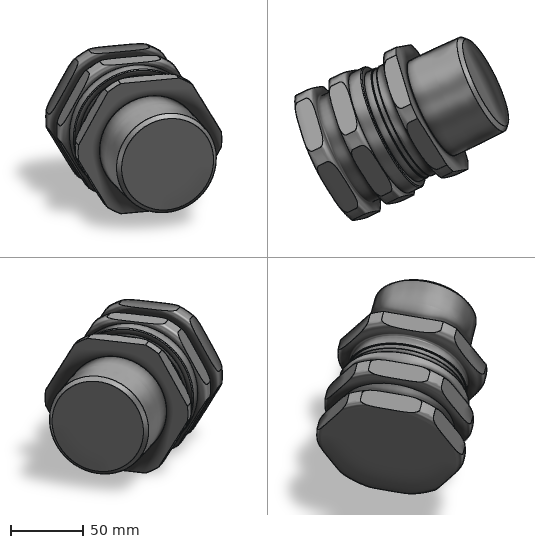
import cadquery as cq


HEX_TURN = 30
ACROSS_FLATS = 95.0
CORNER_RADIUS = 52.0
NUT_ROUND = 4.1

CAP_HEX_LENGTH = 14.1
COLLAR_END = 26.9
COLLAR_RADIUS = 81.6 / 2
COLLAR_FILLET = 1.2

MIDDLE_HEX_END = 41.0
SKIRT_END = 51.2
SKIRT_RADIUS = 92.1 / 2
SKIRT_CHAMFER = 0.7

SLEEVE_RADIUS = 84.1 / 2
SEAL_START = 56.5
SEAL_END = 61.3
SEAL_LIP = 0.4
GROOVE_RADIUS = 83.0 / 2
GROOVE_WALL = 0.4

NECK_TAPER_START = 63.1
NECK_TAPER_END = 67.1
NECK_RADIUS = 82.6 / 2
NECK_FILLET = 2.4
ENTRY_HEX_START = NECK_TAPER_END + NECK_FILLET
ENTRY_HEX_END = 81.7
ENTRY_ROUND = 5.7
SHOULDER_LENGTH = 0.4

SPIGOT_START = ENTRY_HEX_END + SHOULDER_LENGTH
SPIGOT_RADIUS = 73.0 / 2
SPIGOT_TAPER_START = 101.6
SPIGOT_TIP_RADIUS = 72.2 / 2
SPIGOT_CHAMFER = 2.9
TOTAL_LENGTH = 124.0


def revolve_about_x(profile):
    """Turn a closed XY profile fully about the X axis."""
    return profile.close().revolve(360, (0, 0, 0), (1, 0, 0))


def disc(x_start, x_end, radius):
    """Solid cylinder on the X axis."""
    return cq.Workplane("YZ", origin=(x_start, 0, 0)).circle(radius).extrude(x_end - x_start)


def turned_hexagon(x_start, x_end, left_round, right_round=0.0):
    """Hexagon with corners along Y, cut by a round blank with rounded rims."""
    length = x_end - x_start
    blank = disc(x_start, x_end, CORNER_RADIUS).faces("<X").edges().fillet(left_round)
    if right_round:
        blank = blank.faces(">X").edges().fillet(right_round)
    hexagon = (
        cq.Workplane("YZ", origin=(x_start, 0, 0))
        .polygon(6, ACROSS_FLATS, circumscribed=True)
        .extrude(length)
        .rotate((0, 0, 0), (1, 0, 0), HEX_TURN)
    )
    return hexagon.intersect(blank)


def make_cap_nut():
    """Closed hexagon head with a collar that flares into it."""
    head = turned_hexagon(0, CAP_HEX_LENGTH, NUT_ROUND, NUT_ROUND)
    collar = revolve_about_x(
        cq.Workplane("XY")
        .moveTo(CAP_HEX_LENGTH, 0)
        .lineTo(CAP_HEX_LENGTH, COLLAR_RADIUS + COLLAR_FILLET)
        .radiusArc((CAP_HEX_LENGTH + COLLAR_FILLET, COLLAR_RADIUS), -COLLAR_FILLET)
        .lineTo(COLLAR_END, COLLAR_RADIUS)
        .lineTo(COLLAR_END, 0)
    )
    return head.union(collar)


def make_middle_nut():
    """Hexagon with a round skirt chamfered at its free end."""
    hexagon = turned_hexagon(COLLAR_END, MIDDLE_HEX_END, NUT_ROUND, NUT_ROUND)
    skirt = disc(MIDDLE_HEX_END, SKIRT_END, SKIRT_RADIUS).faces(">X").edges().chamfer(SKIRT_CHAMFER)
    return hexagon.union(skirt)


def make_sleeve():
    """Plain cylinder between the middle nut and the seal."""
    return disc(SKIRT_END, SEAL_START, SLEEVE_RADIUS)


def make_seal():
    """Disc with a shallow groove between two narrow lips."""
    return revolve_about_x(
        cq.Workplane("XY")
        .moveTo(SEAL_START, 0)
        .lineTo(SEAL_START, SLEEVE_RADIUS)
        .lineTo(SEAL_START + SEAL_LIP, SLEEVE_RADIUS)
        .lineTo(SEAL_START + SEAL_LIP + GROOVE_WALL, GROOVE_RADIUS)
        .lineTo(SEAL_END - SEAL_LIP - GROOVE_WALL, GROOVE_RADIUS)
        .lineTo(SEAL_END - SEAL_LIP, SLEEVE_RADIUS)
        .lineTo(SEAL_END, SLEEVE_RADIUS)
        .lineTo(SEAL_END, 0)
    )


def make_entry_body():
    """Tapering neck flared into a hexagon, with a short shoulder on its far side."""
    neck = revolve_about_x(
        cq.Workplane("XY")
        .moveTo(SEAL_END, 0)
        .lineTo(SEAL_END, SLEEVE_RADIUS)
        .lineTo(NECK_TAPER_START, SLEEVE_RADIUS)
        .lineTo(NECK_TAPER_END, NECK_RADIUS)
        .radiusArc((ENTRY_HEX_START, NECK_RADIUS + NECK_FILLET), -NECK_FILLET)
        .lineTo(ENTRY_HEX_START, 0)
    )
    hexagon = turned_hexagon(ENTRY_HEX_START, ENTRY_HEX_END, ENTRY_ROUND)
    shoulder = disc(ENTRY_HEX_END, SPIGOT_START, SPIGOT_RADIUS)
    return neck.union(hexagon).union(shoulder)


def make_spigot():
    """Cylinder running into a slight taper, chamfered at the tip."""
    return revolve_about_x(
        cq.Workplane("XY")
        .moveTo(SPIGOT_START, 0)
        .lineTo(SPIGOT_START, SPIGOT_RADIUS)
        .lineTo(SPIGOT_TAPER_START, SPIGOT_RADIUS)
        .lineTo(TOTAL_LENGTH - SPIGOT_CHAMFER, SPIGOT_TIP_RADIUS)
        .lineTo(TOTAL_LENGTH, SPIGOT_TIP_RADIUS - SPIGOT_CHAMFER)
        .lineTo(TOTAL_LENGTH, 0)
    )


cap_nut = make_cap_nut()
middle_nut = make_middle_nut()
sleeve = make_sleeve()
seal = make_seal()
entry_body = make_entry_body()
spigot = make_spigot()

result = cq.Compound.makeCompound([
    cap_nut.val(),
    middle_nut.val(),
    sleeve.val(),
    seal.val(),
    entry_body.val(),
    spigot.val(),
])